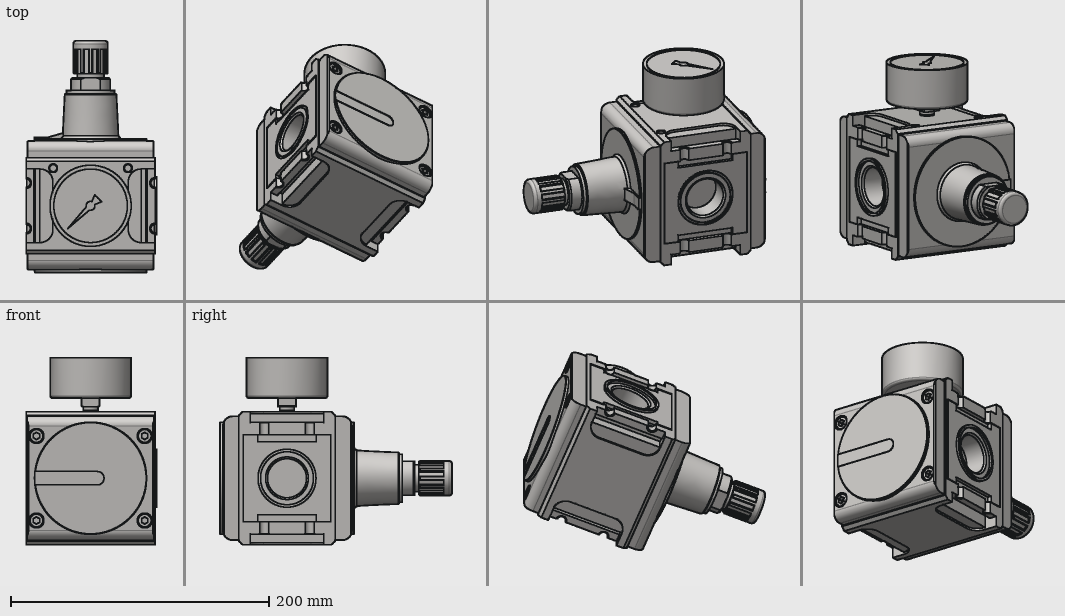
import cadquery as cq
import math


block_x = 100.0
block_y = 74.5
block_z = 103.3
block_chamfer = 2.9
block_half_x = block_x / 2
block_half_z = block_z / 2

cap_x = 98.0
cap_front_y = -49.7
cap_rear_y = 50.4
cap_z = 96.1
cap_round = 7.5
cap_side_chamfer = 0.9

disc_diameter = 87.0
disc_face_y = 52.0
disc_edge_chamfer = 0.4
mark_width = 10.5
mark_end_x = 10.5
mark_depth = 0.4

screw_x = 42.0
screw_z = 32.8
screw_hole_diameter = 11.5
screw_head_diameter = 10.0
screw_head_sink = 0.7
screw_gap_depth = 1.8
socket_across_flats = 4.9
socket_depth = 4.5

panel_y = 68.0
panel_z = 67.3
panel_depth = 0.5
panel_face_x = block_half_x - panel_depth
port_diameter = 30.2
port_depth = 18
port_mouth_diameter = 33.1
seal_inner_diameter = 41.0
seal_outer_diameter = 45
seal_groove_depth = 1.5
seal_proud = 1.5

pocket_y = 57.0
pocket_floor_z = 49.9
pocket_inner_x = 29.2
pocket_corner = 10.0
rail_top_z = 43.4
rail_inner_x = 44.0
groove_wall_x = 39.2
groove_floor_x = 42.8
groove_floor_z = 38.9
slot_y = 45
slot_height = 5.4
slot_depth = 3.8
rail_bottom_z = panel_z / 2
notch_diameter = 6.7
notch_mouth_diameter = 8.3
notch_mouth_depth = 0.5
notch_y = 17.6

top_hole_x = 29.0
top_hole_y = 29.2
top_hole_diameter = 6.7
top_hole_mouth_chamfer = 0.5
top_hole_depth = 2.7

cone_base_diameter = 43.4
cone_base_y = 54.2
cone_base_flare = 1.6
cone_top_diameter = 40.3
cone_top_y = 87.0
cone_top_chamfer = 0.7
collar_diameter = 37.5
collar_top_y = 89.5
nut_diameter = 30.6
nut_across_flats = 26.5
nut_top_y = 99.2
nut_chamfer = 1.3
neck_diameter = 21.0

rib_width = 9.9
rib_start_x = -43.5
rib_bend_x = -33.1
rib_end_x = -18
rib_low_y = 53.1
rib_high_y = 57.5

knob_diameter = 27
knob_bottom_y = 102.2
knob_top_y = 128.0
knob_top_round = 2.5
knob_bottom_chamfer = 0.9
flute_count = 12
flute_floor_width = 3.5
flute_mouth_width = 5.2
flute_floor_radius = 12.2
flute_top_y = 121.5

gauge_diameter = 63
gauge_bottom_z = 62.1
gauge_top_z = 93.5
gauge_bottom_round = 2.0
dial_diameter = 57.0
dial_depth = 0.5
needle_height = 0.2
needle_angle = 45
hub_radius = 3.5
needle_tip = 25.0
needle_root_half_width = 2.0
tail_length = 8.3
tail_end_half_width = 3.8
tail_root_half_width = 0.4
stem_square = 14.2
stem_square_bottom_z = 55.5
stem_square_chamfer = 0.7
stem_diameter = 11.5
stem_foot_height = 1.0
stem_foot_chamfer = 0.4

clearance = 1.8


def cylinder_y(diameter, start_y, end_y):
    """Cylinder about the Y axis."""
    plane = cq.Plane(origin=(0, start_y, 0), xDir=(1, 0, 0), normal=(0, 1, 0))
    return cq.Workplane(plane).circle(diameter / 2).extrude(end_y - start_y)


def make_block():
    """Full-width block, chamfered along its four X edges."""
    return cq.Workplane("XY").box(block_x, block_y, block_z).edges("|X").chamfer(block_chamfer)


def make_cap_core():
    """Rounded core whose two ends stand out of the block as end caps."""
    core = cq.Workplane("XY").box(cap_x, cap_rear_y - cap_front_y, cap_z)
    core = core.translate((0, (cap_rear_y + cap_front_y) / 2, 0))
    rounded = core.edges("|X").fillet(cap_round)
    bevelled = core.edges("|Z").chamfer(cap_side_chamfer)
    return rounded.intersect(bevelled)


def make_mark():
    """Round-ended recess running in from the -X edge of the front disc."""
    radius = mark_width / 2
    return (
        cq.Workplane("XZ", origin=(0, mark_depth - disc_face_y, 0))
        .moveTo(-disc_diameter, -radius)
        .lineTo(mark_end_x - radius, -radius)
        .threePointArc((mark_end_x, 0), (mark_end_x - radius, radius))
        .lineTo(-disc_diameter, radius)
        .close()
        .extrude(mark_depth)
    )


def make_screw_cuts():
    """Holes around the four sunk cap screw heads, and their hexagon sockets."""
    socket_across_corners = socket_across_flats / math.cos(math.pi / 6)
    face = cq.Workplane("XZ")
    sink = face.circle(screw_hole_diameter / 2).extrude(-screw_head_sink)
    gap = face.circle(screw_hole_diameter / 2).circle(screw_head_diameter / 2).extrude(-screw_gap_depth)
    socket = face.transformed(rotate=(0, 0, 30)).polygon(6, socket_across_corners).extrude(-socket_depth)
    cut = sink.union(gap).union(socket)
    places = [(x, cap_front_y, z) for x in (-screw_x, screw_x) for z in (-screw_z, screw_z)]
    return cq.Workplane("XY").pushPoints(places).eachpoint(cut)


def make_clamp_pocket():
    """Pocket, groove, slot and notches of the upper clamp rail on the -X side."""
    pocket_length = 2 * (block_half_x - pocket_inner_x)
    pocket = (
        cq.Workplane("XY", origin=(-block_half_x, 0, pocket_floor_z))
        .rect(pocket_length, pocket_y)
        .extrude(block_half_z)
        .edges("|Z")
        .fillet(pocket_corner)
    )
    outside_x = -block_half_x - clearance
    step = (
        cq.Workplane("XZ", origin=(0, pocket_y / 2, 0))
        .moveTo(outside_x, block_half_z)
        .lineTo(outside_x, rail_top_z)
        .lineTo(-rail_inner_x, rail_top_z)
        .lineTo(-groove_floor_x, groove_floor_z)
        .lineTo(-groove_wall_x, groove_floor_z)
        .lineTo(-groove_wall_x, block_half_z)
        .close()
        .extrude(pocket_y)
    )
    slot = cq.Workplane("XY").box(2 * slot_depth, slot_y, slot_height)
    slot = slot.translate((-block_half_x, 0, rail_bottom_z - slot_height / 2))
    cut = pocket.union(step).union(slot)
    for y in (-notch_y, notch_y):
        notch = (
            cq.Workplane("XY", origin=(-block_half_x, y, rail_bottom_z))
            .circle(notch_diameter / 2)
            .extrude(rail_top_z - rail_bottom_z)
        )
        mouth = (
            cq.Workplane("XY", origin=(-block_half_x, y, rail_top_z - notch_mouth_depth))
            .circle(notch_diameter / 2)
            .workplane(offset=notch_mouth_depth)
            .circle(notch_mouth_diameter / 2)
            .loft()
        )
        cut = cut.union(notch).union(mouth)
    return cut


def make_side_cuts():
    """Panel recess, port bore and clamp pockets of the -X side."""
    panel = cq.Workplane("XY").box(2 * panel_depth, panel_y, panel_z).translate((-block_half_x, 0, 0))
    mouth_depth = (port_mouth_diameter - port_diameter) / 2
    port = (
        cq.Workplane("XY", origin=(-panel_face_x, 0, 0))
        .lineTo(0, port_mouth_diameter / 2)
        .lineTo(mouth_depth, port_diameter / 2)
        .lineTo(port_depth, port_diameter / 2)
        .lineTo(port_depth, 0)
        .close()
        .revolve(360, (0, 0, 0), (1, 0, 0))
    )
    upper_pocket = make_clamp_pocket()
    return panel.union(port).union(upper_pocket).union(upper_pocket.mirror("XY"))


def make_seal_ring(start_x, length):
    """Ring about the X axis that matches the port seal."""
    return (
        cq.Workplane("YZ", origin=(start_x, 0, 0))
        .circle(seal_outer_diameter / 2)
        .circle(seal_inner_diameter / 2)
        .extrude(length)
    )


def make_top_holes():
    """Two blind holes with chamfered mouths in the top face."""
    places = cq.Workplane("XY", origin=(0, 0, block_half_z)).pushPoints(
        [(-top_hole_x, top_hole_y), (top_hole_x, top_hole_y)]
    )
    bores = places.circle(top_hole_diameter / 2 - top_hole_mouth_chamfer).extrude(-top_hole_depth)
    mouths = places.circle(top_hole_diameter / 2).extrude(-top_hole_mouth_chamfer, taper=45)
    return bores.union(mouths)


def make_spring_housing():
    """Turned housing behind the rear disc: flared cone, collar and neck."""
    cone_radius = cone_top_diameter / 2
    turned = (
        cq.Workplane("XY")
        .moveTo(0, cap_rear_y)
        .lineTo(cone_base_diameter / 2 + cone_base_flare, cap_rear_y)
        .lineTo(cone_base_diameter / 2 + cone_base_flare, disc_face_y)
        .lineTo(cone_base_diameter / 2, cone_base_y)
        .lineTo(cone_radius, cone_top_y - cone_top_chamfer)
        .lineTo(cone_radius - cone_top_chamfer, cone_top_y)
        .lineTo(collar_diameter / 2, cone_top_y)
        .lineTo(collar_diameter / 2, collar_top_y)
        .lineTo(neck_diameter / 2, collar_top_y)
        .lineTo(neck_diameter / 2, knob_bottom_y)
        .lineTo(0, knob_bottom_y)
        .close()
        .revolve(360, (0, 0, 0), (0, 1, 0))
    )
    return turned.union(make_nut())


def make_nut():
    """Round nut with two flats across Z."""
    nut = cylinder_y(nut_diameter, collar_top_y, nut_top_y).faces(">Y").chamfer(nut_chamfer)
    flats = cq.Workplane("XY").box(2 * nut_diameter, 4 * nut_top_y, nut_across_flats)
    return nut.intersect(flats)


def make_lever_rib():
    """Rib on the rear disc that slopes up into the cone."""
    return (
        cq.Workplane("XY", origin=(0, 0, -rib_width / 2))
        .moveTo(rib_start_x, cap_rear_y)
        .lineTo(rib_start_x, rib_low_y)
        .lineTo(rib_bend_x, rib_low_y)
        .lineTo(rib_end_x, rib_high_y)
        .lineTo(rib_end_x, cap_rear_y)
        .close()
        .extrude(rib_width)
    )


def make_knob():
    """Round knob with flat-bottomed flutes open at its lower end."""
    knob = cylinder_y(knob_diameter, knob_bottom_y, knob_top_y)
    knob = knob.faces(">Y").edges().fillet(knob_top_round)
    knob = knob.faces("<Y").edges().chamfer(knob_bottom_chamfer)
    flute = (
        cq.Workplane("XZ", origin=(0, flute_top_y, 0))
        .moveTo(-flute_floor_width / 2, flute_floor_radius)
        .lineTo(flute_floor_width / 2, flute_floor_radius)
        .lineTo(flute_mouth_width / 2, knob_diameter / 2)
        .lineTo(-flute_mouth_width / 2, knob_diameter / 2)
        .close()
        .extrude(flute_top_y - knob_bottom_y)
    )
    pitch = 360 / flute_count
    for index in range(flute_count):
        knob = knob.cut(flute.rotate((0, 0, 0), (0, 1, 0), (index + 0.5) * pitch))
    return knob


def make_regulator():
    """Whole regulator body with caps, ports, spring housing and knob."""
    side_cuts = make_side_cuts()
    body = make_block().union(make_cap_core())
    discs = cylinder_y(disc_diameter, -disc_face_y, disc_face_y)
    body = body.union(discs.edges("%CIRCLE").chamfer(disc_edge_chamfer))
    body = body.cut(side_cuts).cut(side_cuts.mirror("YZ"))
    body = body.cut(make_seal_ring(-panel_face_x, seal_groove_depth))
    body = body.union(make_seal_ring(panel_face_x, panel_depth + seal_proud))
    body = body.cut(make_mark()).cut(make_screw_cuts()).cut(make_top_holes())
    return body.union(make_spring_housing()).union(make_lever_rib()).union(make_knob())


def make_needle(start_z):
    """Pointer of the dial: hub, long tip and flared tail."""
    plane = cq.Workplane("XY", origin=(0, 0, start_z))
    hub = plane.circle(hub_radius).extrude(needle_height)
    tip = (
        plane.moveTo(0, needle_root_half_width)
        .lineTo(-needle_tip, 0)
        .lineTo(0, -needle_root_half_width)
        .close()
        .extrude(needle_height)
    )
    tail = (
        plane.moveTo(0, tail_root_half_width)
        .lineTo(tail_length, tail_end_half_width)
        .lineTo(tail_length, -tail_end_half_width)
        .lineTo(0, -tail_root_half_width)
        .close()
        .extrude(needle_height)
    )
    return hub.union(tip).union(tail).rotate((0, 0, 0), (0, 0, 1), needle_angle)


def make_gauge():
    """Pressure gauge: round case, recessed dial, square and round stem."""
    case = (
        cq.Workplane("XY", origin=(0, 0, gauge_bottom_z))
        .circle(gauge_diameter / 2)
        .extrude(gauge_top_z - gauge_bottom_z)
        .faces("<Z")
        .edges()
        .fillet(gauge_bottom_round)
    )
    dial_z = gauge_top_z - dial_depth
    dial = cq.Workplane("XY", origin=(0, 0, dial_z)).circle(dial_diameter / 2).extrude(dial_depth)
    square = (
        cq.Workplane("XY", origin=(0, 0, stem_square_bottom_z))
        .rect(stem_square, stem_square)
        .extrude(gauge_bottom_z - stem_square_bottom_z)
        .faces("<Z")
        .edges("|Y")
        .chamfer(stem_square_chamfer)
    )
    stem = (
        cq.Workplane("XY", origin=(0, 0, block_half_z))
        .circle(stem_diameter / 2)
        .extrude(stem_square_bottom_z - block_half_z)
        .faces("<Z")
        .chamfer(stem_foot_height, stem_foot_chamfer)
    )
    return case.cut(dial).union(make_needle(dial_z)).union(square).union(stem)


regulator = make_regulator()
gauge = make_gauge()

result = cq.Compound.makeCompound([regulator.val(), gauge.val()])